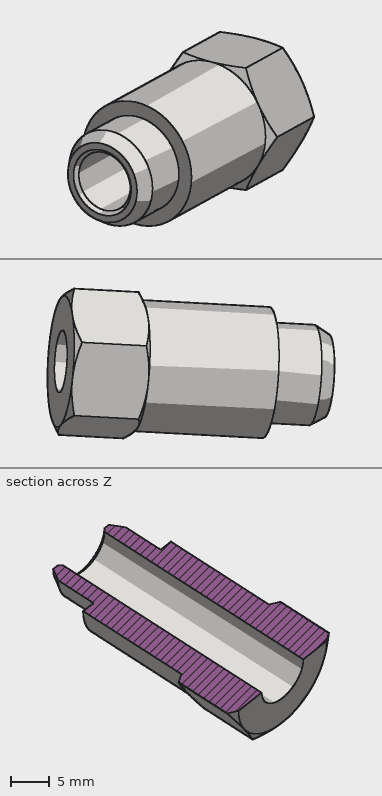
import cadquery as cq
import math

total_length = 35.0
across_flats = 17.0
hex_length = 10.0
nose_length = 7.98
nose_diameter = 13.05
nose_chamfer_length = 1.92
bore_diameter = 8.0
bore_chamfer = 0.5
chamfer_angle = math.radians(30)

body_radius = across_flats / 2
corner_radius = body_radius / math.cos(math.radians(30))
hex_start = total_length - hex_length
hex_chamfer_length = (corner_radius - body_radius) * math.tan(chamfer_angle)
nose_radius = nose_diameter / 2
tip_radius = nose_radius - nose_chamfer_length * math.tan(chamfer_angle)
bore_radius = bore_diameter / 2


def revolve_about_y(points):
    """Turn a closed (radius, Y) outline around the Y axis."""
    return cq.Workplane("XY").polyline(points).close().revolve(360, (0, 0), (0, 1))


def make_hex_head():
    """Hexagon with corners on X, its corners trimmed conically at both ends."""
    prism = (
        cq.Workplane("XZ", origin=(0, total_length, 0))
        .polygon(6, 2 * corner_radius)
        .extrude(hex_length)
    )
    trim_envelope = revolve_about_y([
        (0, hex_start),
        (body_radius, hex_start),
        (corner_radius, hex_start + hex_chamfer_length),
        (corner_radius, total_length - hex_chamfer_length),
        (body_radius, total_length),
        (0, total_length),
    ])
    return prism.intersect(trim_envelope)


def make_shank():
    """Round body with a narrower, tapered-tip nose."""
    return revolve_about_y([
        (0, 0),
        (tip_radius, 0),
        (nose_radius, nose_chamfer_length),
        (nose_radius, nose_length),
        (body_radius, nose_length),
        (body_radius, hex_start),
        (0, hex_start),
    ])


def make_bore():
    """Through bore with a chamfered mouth at the nose tip."""
    return revolve_about_y([
        (0, 0),
        (bore_radius + bore_chamfer, 0),
        (bore_radius, bore_chamfer),
        (bore_radius, total_length),
        (0, total_length),
    ])


result = make_hex_head().union(make_shank()).cut(make_bore())